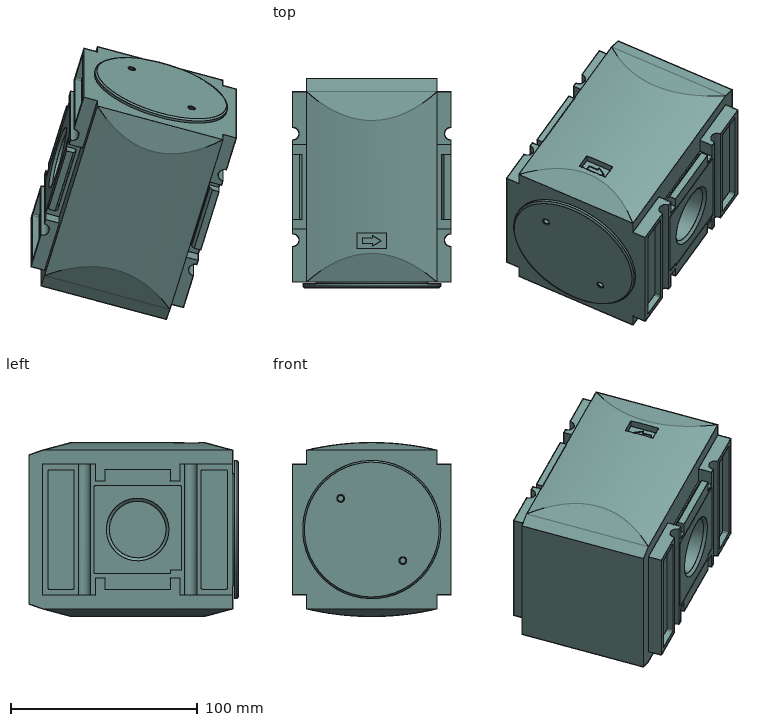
import math
import cadquery as cq

width = 85.0
height = 93.25
core_width = 70.0
shoulder_height = 85.0
body_half_length = 51.0
body_length = 2 * body_half_length
tail_length = 7.2
tail_height = 80.0
dome_end_angle = 15.0
flange_height = 70.0

cover_diameter = 74.0
cover_reach = 3.0
cover_gap = 0.8
cover_chamfer = 0.9
neck_diameter = 60.0
cover_hole_diameter = 3.2
cover_hole_mouth = 4.1
cover_hole_depth = cover_reach
cover_hole_offset = 16.65

groove_radius = 3.3
groove_inset = 0.2
groove_offset = 28.5
pocket_length = 14.0
pocket_height = 64.0
pocket_offset = 41.0
pocket_depth = 3.5
pocket_corner_radius = 0.7
gap_half_length = 22.6
gap_floor = 25.9
tab_half_length = 17.5
tab_top = 32.2
tab_thickness = 5.2
tab_bevel = 1.5
tab_bevel_angle = 60.0
seat_size = 47.0
seat_depth = 0.1
seat_corner_radius = 0.9
seat_step_length = 6.0
seat_step_height = 1.9
port_diameter = 30.29
port_mouth_diameter = 33.5
port_depth = 18.0

arrow_y = -28.85
arrow_pocket_length = 15.85
arrow_pocket_width = 8.15
arrow_floor = 42.5
arrow_depth = 0.5
arrow_half_length = 5.0
arrow_neck_x = 0.3
arrow_shaft_half_width = 1.5
arrow_head_half_width = 2.9

half_width = width / 2
half_core = core_width / 2
half_height = height / 2
half_shoulder = shoulder_height / 2
half_flange = flange_height / 2
half_tail = tail_height / 2
tail_end = body_half_length + tail_length
cover_face = -body_half_length - cover_reach


def box(x_range, y_range, z_range):
    """Axis-aligned box from its limits along X, Y and Z."""
    limits = (x_range, y_range, z_range)
    sizes = [high - low for low, high in limits]
    corner = cq.Vector(*[low for low, high in limits])
    return cq.Workplane("XY").box(*sizes, centered=False).translate(corner)


def domed_core():
    """Column with arched top and bottom, sloped at both ends."""
    length = body_length + tail_length
    arched = (
        cq.Workplane("XZ", origin=(0, tail_end, 0))
        .moveTo(-half_core, -half_shoulder)
        .threePointArc((0, -half_height), (half_core, -half_shoulder))
        .lineTo(half_core, half_shoulder)
        .threePointArc((0, half_height), (-half_core, half_shoulder))
        .close()
        .extrude(length)
    )
    slope_run = (half_height - half_shoulder) / math.tan(math.radians(dome_end_angle))
    crown_end = body_half_length - slope_run
    upper = [
        (-body_half_length, half_shoulder),
        (-crown_end, half_height),
        (crown_end, half_height),
        (body_half_length, half_shoulder),
        (tail_end, half_tail),
    ]
    lower = [(y, -z) for y, z in reversed(upper)]
    side_outline = (
        cq.Workplane("YZ", origin=(-half_core, 0, 0))
        .polyline(upper + lower)
        .close()
        .extrude(core_width)
    )
    return arched.intersect(side_outline)


def flange_slab():
    return cq.Workplane("XY").box(width, body_length, flange_height)


def end_cover():
    """Round cover on a narrower neck, with two countersunk holes."""
    neck = (
        cq.Workplane("XZ", origin=(0, -body_half_length, 0))
        .circle(neck_diameter / 2)
        .extrude(cover_gap)
    )
    disc = (
        cq.Workplane("XZ", origin=(0, -body_half_length - cover_gap, 0))
        .circle(cover_diameter / 2)
        .extrude(cover_reach - cover_gap)
        .faces("<Y")
        .chamfer(cover_chamfer)
    )
    holes = (
        cq.Workplane("XZ", origin=(0, cover_face, 0))
        .pushPoints([(-cover_hole_offset, cover_hole_offset), (cover_hole_offset, -cover_hole_offset)])
        .circle(cover_hole_diameter / 2)
        .extrude(-cover_hole_depth)
    )
    cover = neck.union(disc).cut(holes)
    countersink = (cover_hole_mouth - cover_hole_diameter) / 2
    rims = cover.faces("<Y").edges(cq.selectors.RadiusNthSelector(0))
    return rims.chamfer(countersink)


def clamp_groove(y):
    return (
        cq.Workplane("XY", origin=(-half_width + groove_inset, y, -half_flange))
        .circle(groove_radius)
        .extrude(flange_height)
    )


def flange_pocket(y):
    return (
        cq.Workplane("YZ", origin=(-half_width, y, 0))
        .rect(pocket_length, pocket_height)
        .extrude(pocket_depth)
        .edges("|X")
        .fillet(pocket_corner_radius)
    )


def tab_opening():
    """Material removed from the flange's upper edge, leaving a bevelled tab."""
    opening = box(
        (-half_width, -half_core), (-gap_half_length, gap_half_length), (gap_floor, half_flange)
    )
    tab_back = -half_width + tab_thickness
    bevel_drop = tab_bevel * math.tan(math.radians(tab_bevel_angle))
    tab = (
        cq.Workplane("XZ", origin=(0, tab_half_length, 0))
        .moveTo(-half_width, gap_floor)
        .lineTo(tab_back, gap_floor)
        .lineTo(tab_back, tab_top - bevel_drop)
        .lineTo(tab_back - tab_bevel, tab_top)
        .lineTo(-half_width, tab_top)
        .close()
        .extrude(2 * tab_half_length)
    )
    return opening.cut(tab)


def port_seat():
    half_seat = seat_size / 2
    seat = (
        cq.Workplane("YZ", origin=(-half_width, 0, 0))
        .rect(seat_size, seat_size)
        .extrude(seat_depth)
        .edges("|X")
        .fillet(seat_corner_radius)
    )
    step = box(
        (-half_width, -half_width + seat_depth),
        (-half_seat, -half_seat + seat_step_length),
        (-half_seat, -half_seat + seat_step_height),
    )
    return seat.cut(step)


def port_bore():
    """Blind port with a 45 degree lead-in at the seat."""
    port_radius = port_diameter / 2
    mouth_radius = port_mouth_diameter / 2
    mouth_x = -half_width + seat_depth
    return (
        cq.Workplane("XY")
        .moveTo(-half_width, 0)
        .lineTo(-half_width, mouth_radius)
        .lineTo(mouth_x, mouth_radius)
        .lineTo(mouth_x + mouth_radius - port_radius, port_radius)
        .lineTo(-half_width + port_depth, port_radius)
        .lineTo(-half_width + port_depth, 0)
        .close()
        .revolve(360, (0, 0, 0), (1, 0, 0))
    )


def port_side_cuts():
    """Everything removed from the -X port flange."""
    opening = tab_opening()
    cuts = port_bore().union(port_seat()).union(opening).union(opening.mirror("XY"))
    for side in (-1, 1):
        cuts = cuts.union(clamp_groove(side * groove_offset))
        cuts = cuts.union(flange_pocket(side * pocket_offset))
    return cuts


def arrow_cut():
    """Rectangular window with the flow arrow sunk into its floor."""
    window = (
        cq.Workplane("XY", origin=(0, arrow_y, arrow_floor))
        .rect(arrow_pocket_length, arrow_pocket_width)
        .extrude(half_height - arrow_floor)
    )
    upper = [
        (-arrow_half_length, arrow_shaft_half_width),
        (arrow_neck_x, arrow_shaft_half_width),
        (arrow_neck_x, arrow_head_half_width),
    ]
    lower = [(x, -y) for x, y in reversed(upper)]
    arrow = (
        cq.Workplane("XY", origin=(0, arrow_y, arrow_floor - arrow_depth))
        .polyline(upper + [(arrow_half_length, 0)] + lower)
        .close()
        .extrude(arrow_depth)
    )
    return window.union(arrow)


side_cuts = port_side_cuts()
body = domed_core().union(flange_slab())
body = body.cut(side_cuts).cut(side_cuts.mirror("YZ")).cut(arrow_cut())
result = body.union(end_cover())